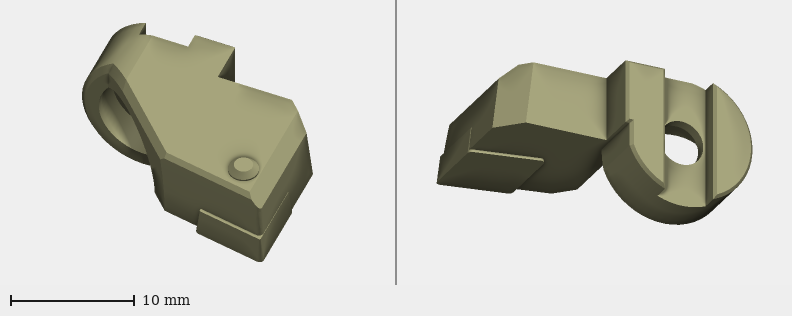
import cadquery as cq
import math


ring_radius = 5.7
ring_width = 5.6
front_chamfer = 0.5
back_chamfer = 0.25
ring_flat_x = 5.32
counterbore_radius = 4.0
counterbore_depth = 2.8
bore_radius = 1.95
countersink_radius = 2.3
countersink_depth = 0.2
slot_width = 4.3
slot_depth = 1.64

arm_height = 5.6
tongue_side_x = ring_radius
arm_back_y = 1.8
diagonal_start_x = -3.17
diagonal_chamfer = 0.55
front_corner_x = 5.55
front_corner_y = diagonal_start_x - front_corner_x
front_face_radius = 22.77
front_edge_drop = 0.31
front_edge_setback = 0.41
end_x = 14.95
end_bevel_width = 1.25
end_bevel_drop = 1.01
back_corner_bevel = 2.03
nose_radius = 0.4

insert_right_x = 15.0
insert_front_y = -10.78
insert_side = 6.45
insert_thickness = 2.35
insert_bottom_z = -0.25
insert_corner_radius = 0.4

screw_x = 11.72
screw_y = -6.93
screw_radius = 1.26
screw_top_z = 6.23
screw_chamfer = 0.48

relief_angle = 7.0
lead_angle = 10.0
relief_slope = math.tan(math.radians(relief_angle))
lead_sin = math.sin(math.radians(lead_angle))
lead_cos = math.cos(math.radians(lead_angle))
front_end_y = front_corner_y - (end_x - front_corner_x) * lead_sin / lead_cos
clearance = 4.15


def along_y(radius, y_start, y_end):
    """Cylinder on the ring axis between two Y positions."""
    return cq.Workplane("XZ", origin=(0, y_start, 0)).circle(radius).extrude(y_start - y_end)


def make_ring():
    ring = along_y(ring_radius, 0, ring_width).faces("<Y").chamfer(front_chamfer)
    trimmed_width = ring_radius + ring_flat_x
    envelope = cq.Workplane("XY").box(
        trimmed_width, ring_width, ring_radius + arm_height, centered=False
    )
    return ring.intersect(envelope.translate((-ring_radius, 0, -ring_radius)))


def make_arm_plan():
    """Arm seen from above, extruded to full height with upright sides."""
    outline = [
        (diagonal_start_x - front_chamfer, front_chamfer),
        (front_corner_x, front_corner_y),
        (end_x, front_end_y),
        (end_x, arm_back_y),
        (tongue_side_x, arm_back_y),
        (tongue_side_x, ring_width),
        (diagonal_start_x - front_chamfer, ring_width),
    ]
    return cq.Workplane("XY").polyline(outline).close().extrude(arm_height)


def make_arm_side_profile():
    """Arm seen along Y: ring radius on the left, relieved and bevelled end on the right."""
    flat_start_x = -math.sqrt(ring_radius**2 - arm_height**2)
    arc_mid = ring_radius * math.cos(math.radians(45))
    bevel_z = arm_height - end_bevel_drop
    bevel_x = end_x - bevel_z * relief_slope
    reach = clearance - front_end_y
    return (
        cq.Workplane("XZ")
        .moveTo(-ring_radius, 0)
        .threePointArc((-arc_mid, arc_mid), (flat_start_x, arm_height))
        .lineTo(bevel_x - end_bevel_width, arm_height)
        .lineTo(bevel_x, bevel_z)
        .lineTo(end_x, 0)
        .close()
        .extrude(reach, both=True)
    )


def make_front_face_cutter():
    """Waste outside the convex front face and the bevel along its top edge."""
    section = cq.Plane(
        origin=(front_corner_x, front_corner_y, 0),
        xDir=(-lead_sin, -lead_cos, 0),
        normal=(-lead_cos, lead_sin, 0),
    )

    def face_offset(z):
        return math.sqrt(front_face_radius**2 - z**2) - front_face_radius

    bevel_z = arm_height - front_edge_drop
    return (
        cq.Workplane(section)
        .threePointArc((face_offset(bevel_z / 2), bevel_z / 2), (face_offset(bevel_z), bevel_z))
        .lineTo(face_offset(bevel_z) - front_edge_setback, arm_height)
        .lineTo(clearance, arm_height)
        .lineTo(clearance, 0)
        .close()
        .extrude(end_x, both=True)
    )


def make_back_corner_cutter():
    """Wedge off the back corner, leaning with the relief of the arm's end."""
    reach = back_corner_bevel + clearance
    corner = cq.Wire.makePolygon(
        [
            (end_x + clearance, arm_back_y - reach, 0),
            (end_x + clearance, arm_back_y + clearance, 0),
            (end_x - reach, arm_back_y + clearance, 0),
        ],
        close=True,
    )
    lean = cq.Vector(-arm_height * relief_slope, 0, arm_height)
    return cq.Workplane(cq.Solid.extrudeLinear(corner, [], lean))


def make_arm():
    arm = make_arm_plan().intersect(make_arm_side_profile())
    diagonal_top = arm.faces("<(1,1,0)").edges("not(<Z or |Z)")
    arm = diagonal_top.chamfer(diagonal_chamfer)
    arm = arm.cut(make_front_face_cutter())
    nose_point = (end_x - relief_slope * arm_height / 2, front_end_y, arm_height / 2)
    arm = arm.edges(cq.selectors.NearestToPointSelector(nose_point)).fillet(nose_radius)
    return arm.cut(make_back_corner_cutter())


def cut_ring_features(body):
    slot_floor_y = ring_width - slot_depth
    body = body.cut(along_y(counterbore_radius, front_corner_y, counterbore_depth))
    body = body.cut(along_y(bore_radius, 0, ring_width))
    countersink = cq.Solid.makeCone(
        countersink_radius,
        bore_radius,
        countersink_depth,
        pnt=(0, counterbore_depth, 0),
        dir=(0, 1, 0),
    )
    body = body.cut(cq.Workplane(countersink))
    slot = cq.Workplane("XY").box(
        slot_width, slot_depth, 2 * (ring_radius + clearance), centered=(True, False, True)
    )
    body = body.cut(slot.translate((0, slot_floor_y, 0)))
    return body.faces(">Y").chamfer(back_chamfer)


def make_insert_blank():
    """Rhombic insert narrowing upwards on all sides by the relief angle."""
    acute_half_angle = math.radians((90 - lead_angle) / 2)
    corner_y = insert_front_y + insert_corner_radius * (1 - 1 / math.tan(acute_half_angle))
    left_x = insert_right_x - insert_side * lead_cos
    left_rise = insert_side * lead_sin
    outline = (
        cq.Sketch()
        .polygon(
            [
                (insert_right_x, corner_y),
                (insert_right_x, corner_y + insert_side),
                (left_x, corner_y + insert_side + left_rise),
                (left_x, corner_y + left_rise),
                (insert_right_x, corner_y),
            ]
        )
        .vertices()
        .fillet(insert_corner_radius)
    )
    return (
        cq.Workplane("XY", origin=(0, 0, insert_bottom_z))
        .placeSketch(outline)
        .extrude(insert_thickness, taper=relief_angle)
    )


def make_screw():
    """Plain pin through the insert and the arm, chamfered at its projecting tip."""
    return (
        cq.Workplane("XY", origin=(screw_x, screw_y, insert_bottom_z))
        .circle(screw_radius)
        .extrude(screw_top_z - insert_bottom_z)
        .faces(">Z")
        .chamfer(screw_chamfer)
    )


screw = make_screw()
insert_blank = make_insert_blank()
insert = insert_blank.cut(screw)
holder = cut_ring_features(make_ring().union(make_arm())).cut(insert_blank).cut(screw)

result = cq.Compound.makeCompound([holder.val(), insert.val(), screw.val()])